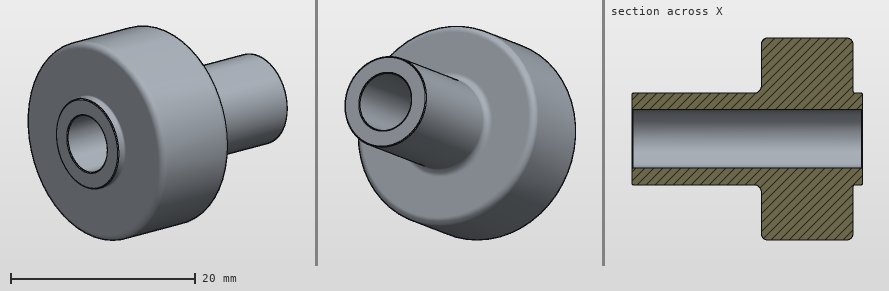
import cadquery as cq

total_length = 25.0
sleeve_radius = 5.0
bore_radius = 3.15
wheel_radius = 11.0
wheel_width = 10.0
wheel_front = 1.0
rim_fillet = 0.75
front_root_fillet = 0.2
rear_root_fillet = 0.75
end_chamfer = 0.1

wheel_rear = wheel_front + wheel_width


def cylinder(radius, start, length):
    """Solid cylinder along +Y, beginning at y = start."""
    return cq.Workplane("XZ", origin=(0, start, 0)).circle(radius).extrude(-length)


def root_edge(y):
    """Selector for the circle where the sleeve meets a wheel face."""
    clearance = 0.25
    reach = sleeve_radius + clearance
    margin = 0.02
    return cq.selectors.BoxSelector(
        (-reach, y - margin, -reach), (reach, y + margin, reach), boundingbox=True
    )


wheel = cylinder(wheel_radius, wheel_front, wheel_width).faces("<Y or >Y").edges().fillet(rim_fillet)

body = wheel.union(cylinder(sleeve_radius, 0, total_length))
body = body.edges(root_edge(wheel_front)).fillet(front_root_fillet)
body = body.edges(root_edge(wheel_rear)).fillet(rear_root_fillet)

body = body.cut(cylinder(bore_radius, 0, total_length))
result = body.faces("<Y or >Y").edges().chamfer(end_chamfer)